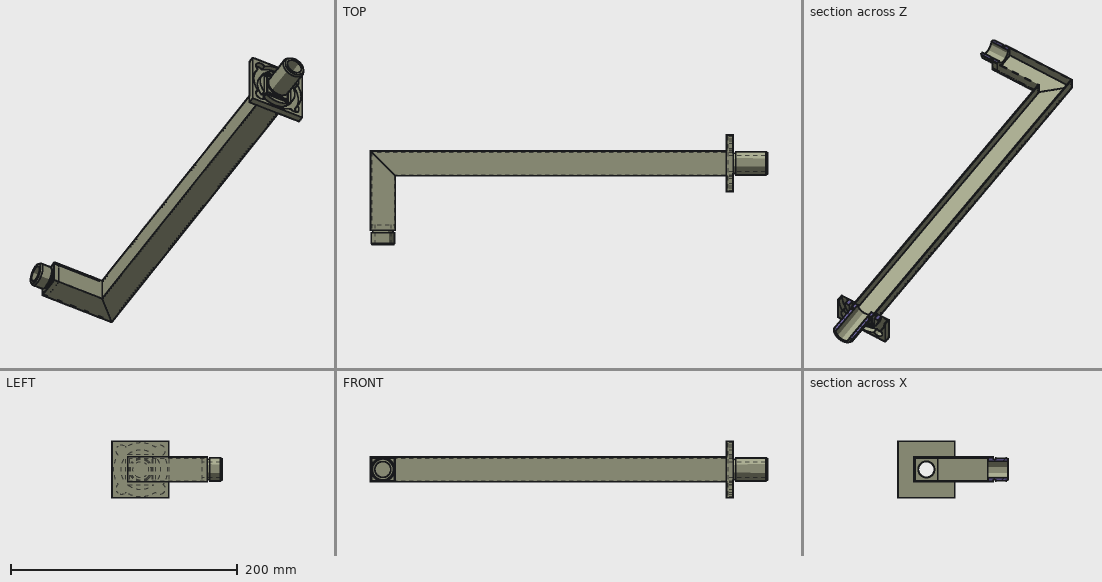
import cadquery as cq


total_length = 350.5
total_width = 97.0
plate_side = 50.0
plate_thickness = 6.0

tube_side = 22.0
tube_wall = 1.0
tube_bore = tube_side - 2 * tube_wall
outer_half = tube_side / 2
leg_length = 70.0

thread_diameter = 20.7
neck_diameter = 18.2
neck_length = 2.0
nipple_bore = 14.0
plug_depth = 5.0
tip_chamfer_radial = 1.0
tip_chamfer_axial = 1.8

plate_skin = 1.0
recess_radius = 24.0
lobe_radius = 5.0
lobe_offset = 16.8
post_radius = 17.5
post_clearance_side = 26.5

arm_left = -outer_half
inlet_tip = arm_left + total_length
inlet_projection = 30.5
plate_back = inlet_tip - inlet_projection
plate_front = plate_back - plate_thickness
leg_end = outer_half - leg_length
outlet_tip = plate_side / 2 - total_width
outlet_projection = leg_end - outlet_tip


def square_tube_along_x(start, end):
    return (
        cq.Workplane("YZ", origin=(start, 0, 0))
        .rect(tube_side, tube_side)
        .rect(tube_bore, tube_bore)
        .extrude(end - start)
    )


def square_tube_along_y(start, end):
    return (
        cq.Workplane("XZ", origin=(0, end, 0))
        .rect(tube_side, tube_side)
        .rect(tube_bore, tube_bore)
        .extrude(end - start)
    )


def miter_wedge(third_corner):
    """Triangle on one side of the 45 degree joint at the elbow."""
    corners = [(-outer_half, outer_half), (outer_half, -outer_half), third_corner]
    return cq.Workplane("XY").polyline(corners).close().extrude(outer_half, both=True)


def make_arm():
    """Long tube, mitred at the elbow and flush with the back of the plate."""
    return square_tube_along_x(arm_left, plate_back).cut(miter_wedge((-outer_half, -outer_half)))


def make_leg():
    """Short tube, mitred to meet the arm."""
    return square_tube_along_y(leg_end, outer_half).cut(miter_wedge((outer_half, outer_half)))


def make_nipple(projection):
    """Bored thread along +Z; its square plug sits below the tube end at Z = 0."""
    plug = cq.Workplane("XY").rect(tube_bore, tube_bore).extrude(-plug_depth)
    neck = cq.Workplane("XY").circle(neck_diameter / 2).extrude(neck_length)
    thread = (
        cq.Workplane("XY", origin=(0, 0, neck_length))
        .circle(thread_diameter / 2)
        .extrude(projection - neck_length)
        .faces(">Z")
        .chamfer(tip_chamfer_axial, tip_chamfer_radial)
    )
    bore = (
        cq.Workplane("XY", origin=(0, 0, -plug_depth))
        .circle(nipple_bore / 2)
        .extrude(plug_depth + projection)
    )
    return plug.union(neck).union(thread).cut(bore)


def make_inlet():
    return make_nipple(inlet_projection).rotate((0, 0, 0), (0, 1, 0), 90).translate((plate_back, 0, 0))


def make_outlet():
    return make_nipple(outlet_projection).rotate((0, 0, 0), (1, 0, 0), 90).translate((0, leg_end, 0))


def make_plate():
    """Square cover plate with a lobed back recess that leaves four posts around the arm."""
    recess_depth = plate_thickness - plate_skin
    recess_plane = cq.Workplane("YZ", origin=(plate_front + plate_skin, 0, 0))
    lobes = (
        recess_plane.rect(2 * lobe_offset, 2 * lobe_offset, forConstruction=True)
        .vertices()
        .circle(lobe_radius)
        .extrude(recess_depth)
    )
    posts = recess_plane.circle(post_radius).extrude(recess_depth).cut(
        recess_plane.rect(post_clearance_side, post_clearance_side).extrude(recess_depth)
    )
    recess = recess_plane.circle(recess_radius).extrude(recess_depth).union(lobes).cut(posts)
    plate_plane = cq.Workplane("YZ", origin=(plate_front, 0, 0))
    plate = plate_plane.rect(plate_side, plate_side).rect(tube_side, tube_side).extrude(plate_thickness)
    return plate.cut(recess)


arm = make_arm()
leg = make_leg()
outlet = make_outlet()
inlet = make_inlet()
plate = make_plate()

result = cq.Compound.makeCompound([arm.val(), leg.val(), outlet.val(), inlet.val(), plate.val()])